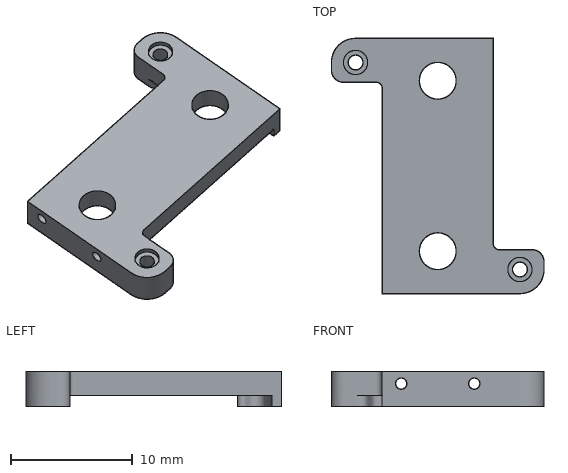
import cadquery as cq
import math

length_x = 17.5
length_y = 21.0
height = 2.9
plate_thickness = 2.0
foot_height = height - plate_thickness
half_x = length_x / 2
half_y = length_y / 2

body_width = 9.15
half_body = body_width / 2
ear_depth = 3.63
ear_outer_radius = 2.0
ear_inner_radius = 1.0
root_radius = 0.46

ear_hole_inset = 2.0
ear_hole_diameter = 1.2
counterbore_diameter = 2.0
counterbore_depth = 0.4
large_hole_diameter = 3.0
large_hole_spacing = 14.0
cross_hole_diameter = 0.9
cross_hole_spacing = 6.0
cross_hole_drop = 1.0

rib_width = 0.78
left_ramp_length = 2.02
right_tip_radius = 0.4
right_neck_radius = 0.71
right_neck_center_x = 4.83
right_neck_center_inset = 2.05
right_neck_angle = 228.0
right_rib_angle = 115.0


def outline_solid(thickness, bottom):
    """S-shaped outline of the part, extruded up from the given level."""
    ear_edge = half_y - ear_depth
    points = [
        (-half_body, -half_y),
        (half_x, -half_y),
        (half_x, -ear_edge),
        (half_body, -ear_edge),
        (half_body, half_y),
        (-half_x, half_y),
        (-half_x, ear_edge),
        (-half_body, ear_edge),
    ]
    solid = cq.Workplane("XY").workplane(offset=bottom).polyline(points).close().extrude(thickness)
    corner_radii = [
        (half_x, -half_y, ear_outer_radius),
        (half_x, -ear_edge, ear_inner_radius),
        (half_body, -ear_edge, root_radius),
    ]
    for x, y, radius in corner_radii:
        for side in (1, -1):
            corner = cq.selectors.NearestToPointSelector((side * x, side * y, bottom + thickness / 2))
            solid = solid.edges("|Z").edges(corner).fillet(radius)
    return solid


def left_foot_area():
    """Region kept under the -X ear and the +Y edge, joined by a smooth S-shaped ramp."""
    ear_edge = half_y - ear_depth
    rib_edge = half_y - rib_width
    ramp_start = (-half_body - left_ramp_length, ear_edge)
    ramp_end = (-half_body, rib_edge)
    along_x = (1, 0)
    return (
        cq.Workplane("XY")
        .moveTo(-half_x, half_y)
        .lineTo(-half_x, ear_edge)
        .lineTo(*ramp_start)
        .spline([ramp_end], tangents=[along_x, along_x], includeCurrent=True)
        .lineTo(half_body, rib_edge)
        .lineTo(half_body, half_y)
        .close()
        .extrude(foot_height)
    )


def polar(center, radius, degrees):
    """Point on a circle."""
    angle = math.radians(degrees)
    return (center[0] + radius * math.cos(angle), center[1] + radius * math.sin(angle))


def right_foot_area():
    """Region kept under the +X ear and the -Y edge, with a hooked tip and a hollow neck."""
    ear_edge = -half_y + ear_depth
    rib_edge = -half_y + rib_width
    half_turn = 180.0
    neck_center = (right_neck_center_x, -half_y + right_neck_center_inset)
    neck_start = polar(neck_center, right_neck_radius, right_neck_angle - half_turn)
    neck_middle = polar(neck_center, right_neck_radius, 0)
    neck_end = polar(neck_center, right_neck_radius, right_rib_angle - half_turn)

    slope = math.radians(right_neck_angle)
    tip_center_y = ear_edge - right_tip_radius
    tip_end_y = tip_center_y + right_tip_radius * math.sin(slope)
    tip_end_x = neck_start[0] - (tip_end_y - neck_start[1]) * math.tan(slope)
    tip_center = (tip_end_x - right_tip_radius * math.cos(slope), tip_center_y)

    lean = math.radians(right_rib_angle)
    blend_radius = (neck_end[1] - rib_edge) / (1 - math.sin(lean))
    blend_center = (neck_end[0] + blend_radius * math.cos(lean), rib_edge + blend_radius)
    blend_middle = polar(blend_center, blend_radius, (right_rib_angle + 90) / 2 - half_turn)
    return (
        cq.Workplane("XY")
        .moveTo(half_x, -half_y)
        .lineTo(half_x, ear_edge)
        .lineTo(tip_center[0], ear_edge)
        .threePointArc(polar(tip_center, right_tip_radius, half_turn), (tip_end_x, tip_end_y))
        .lineTo(*neck_start)
        .threePointArc(neck_middle, neck_end)
        .threePointArc(blend_middle, (blend_center[0], rib_edge))
        .lineTo(-half_body, rib_edge)
        .lineTo(-half_body, -half_y)
        .close()
        .extrude(foot_height)
    )


plate = outline_solid(plate_thickness, foot_height)
feet = outline_solid(foot_height, 0).intersect(left_foot_area().union(right_foot_area()))
result = plate.union(feet)

ear_hole_x = half_x - ear_hole_inset
ear_hole_y = half_y - ear_hole_inset
result = (
    result.faces(">Z")
    .workplane(origin=(0, 0, height))
    .pushPoints([(-ear_hole_x, ear_hole_y), (ear_hole_x, -ear_hole_y)])
    .cboreHole(ear_hole_diameter, counterbore_diameter, counterbore_depth)
)

result = (
    result.faces(">Z")
    .workplane(origin=(0, 0, height))
    .pushPoints([(0, large_hole_spacing / 2), (0, -large_hole_spacing / 2)])
    .hole(large_hole_diameter)
)

cross_hole_z = height - cross_hole_drop
cross_holes = (
    cq.Workplane("XZ", origin=(0, half_y, 0))
    .pushPoints([(-cross_hole_spacing / 2, cross_hole_z), (cross_hole_spacing / 2, cross_hole_z)])
    .circle(cross_hole_diameter / 2)
    .extrude(length_y)
)
result = result.cut(cross_holes)